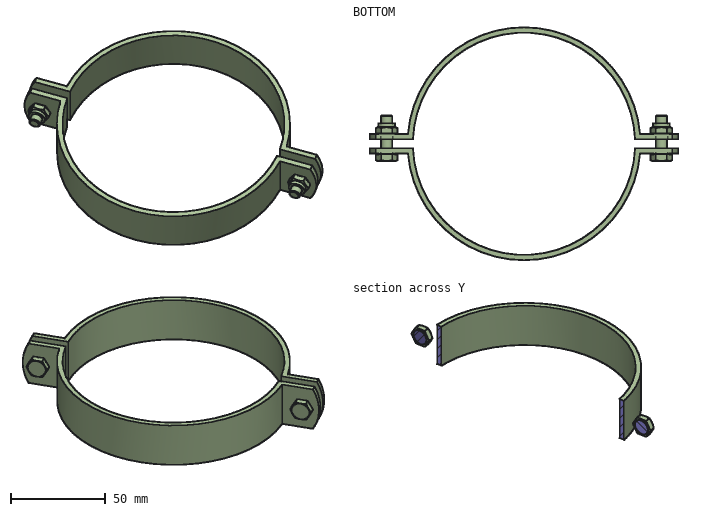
import cadquery as cq
import math

overall_length = 163.0
ring_outer_diameter = 123.0
strap_thickness = 3.0
strap_width = 25.0
tab_gap = 4.5
tab_end_rise = 3.3
bolt_hole_diameter = 6.5

bolt_spacing = 145.0
shank_diameter = 6.0
tip_diameter = 4.9
tip_chamfer_length = 0.5
bolt_protrusion = 9.8
hex_across_flats = 10.1
hex_chamfer_angle = 30.0
head_height = 3.9
head_face_diameter = 9.8
washer_face_diameter = 8.6
washer_face_height = 0.3
nut_height = 5.7
collar_diameter = 9.0
collar_height = 2.0

ring_outer_radius = ring_outer_diameter / 2
ring_inner_radius = ring_outer_radius - strap_thickness
tab_inner_y = tab_gap / 2
tab_outer_y = tab_inner_y + strap_thickness
hex_across_corners = hex_across_flats * 2 / math.sqrt(3)
bolt_positions = (-bolt_spacing / 2, bolt_spacing / 2)


def along_y(x, y, direction):
    """Workplane at (x, y, 0) whose normal points along +Y or -Y."""
    return cq.Workplane(cq.Plane(origin=(x, y, 0), xDir=(1, 0, 0), normal=(0, direction, 0)))


def rounded_end_outline(depth):
    """Block with arched ends in the XZ plane, extruded along +Y."""
    half_length = overall_length / 2
    shoulder_x = half_length - tab_end_rise
    half_width = strap_width / 2
    return (
        along_y(0, 0, 1)
        .moveTo(-shoulder_x, -half_width)
        .lineTo(shoulder_x, -half_width)
        .threePointArc((half_length, 0), (shoulder_x, half_width))
        .lineTo(-shoulder_x, half_width)
        .threePointArc((-half_length, 0), (-shoulder_x, -half_width))
        .close()
        .extrude(depth)
    )


def make_clamp_half(side):
    """Half ring with two drilled tabs, on the +Y (side=1) or -Y (side=-1) side."""
    inner_x = math.sqrt(ring_inner_radius**2 - tab_inner_y**2)
    outer_x = math.sqrt(ring_outer_radius**2 - tab_outer_y**2)
    end_x = overall_length / 2
    profile = (
        cq.Workplane("XY", origin=(0, 0, -strap_width / 2))
        .moveTo(-end_x, tab_inner_y)
        .lineTo(-inner_x, tab_inner_y)
        .threePointArc((0, ring_inner_radius), (inner_x, tab_inner_y))
        .lineTo(end_x, tab_inner_y)
        .lineTo(end_x, tab_outer_y)
        .lineTo(outer_x, tab_outer_y)
        .threePointArc((0, ring_outer_radius), (-outer_x, tab_outer_y))
        .lineTo(-end_x, tab_outer_y)
        .close()
    )
    half = profile.extrude(strap_width).intersect(rounded_end_outline(ring_outer_diameter))
    for x in bolt_positions:
        half = half.cut(along_y(x, 0, 1).circle(bolt_hole_diameter / 2).extrude(tab_outer_y))
    return half if side > 0 else half.mirror("XZ")


def chamfered_hex(x, seat_y, direction, height, face_diameter):
    """Hexagonal block on a thin round washer face, with its far corners chamfered to a round face."""
    hex_height = height - washer_face_height
    hex_y = seat_y + direction * washer_face_height
    washer_face = along_y(x, seat_y, direction).circle(washer_face_diameter / 2).extrude(height)
    hexagon = along_y(x, hex_y, direction).polygon(6, hex_across_corners).extrude(hex_height)
    chamfer_radial = (hex_across_corners - face_diameter) / 2
    chamfer_height = chamfer_radial * math.tan(math.radians(hex_chamfer_angle))
    cone = (
        along_y(x, hex_y, direction)
        .circle(hex_across_corners / 2)
        .extrude(hex_height)
        .faces(">Y" if direction > 0 else "<Y")
        .chamfer(chamfer_height, chamfer_radial)
    )
    return hexagon.intersect(cone).union(washer_face)


def make_bolt(x):
    """Hex bolt with its head on the +Y tab and a chamfered tip pointing to -Y."""
    head = chamfered_hex(x, tab_outer_y, 1, head_height, head_face_diameter)
    tip_radial_cut = (shank_diameter - tip_diameter) / 2
    shank = (
        along_y(x, tab_outer_y, -1)
        .circle(shank_diameter / 2)
        .extrude(2 * tab_outer_y + bolt_protrusion)
        .faces("<Y")
        .chamfer(tip_chamfer_length, tip_radial_cut)
    )
    return head.union(shank)


def make_nut(x):
    """Hex nut with a round collar, seated on the -Y tab."""
    seat_y = -tab_outer_y
    hexagon = chamfered_hex(x, seat_y, -1, nut_height - collar_height, collar_diameter)
    collar_y = seat_y - nut_height + collar_height
    collar = along_y(x, collar_y, -1).circle(collar_diameter / 2).extrude(collar_height)
    bore = along_y(x, seat_y, -1).circle(shank_diameter / 2).extrude(nut_height)
    return hexagon.union(collar).cut(bore)


clamp_halves = [make_clamp_half(side) for side in (1, -1)]
bolts = [make_bolt(x) for x in bolt_positions]
nuts = [make_nut(x) for x in bolt_positions]

result = cq.Compound.makeCompound([body.val() for body in clamp_halves + bolts + nuts])